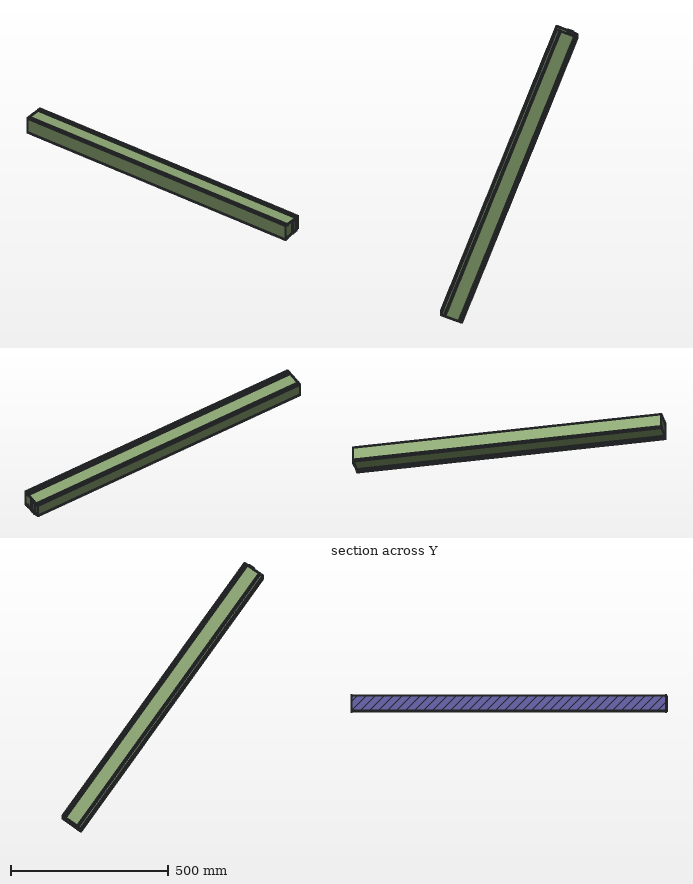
import cadquery as cq

total_length = 1003.0
depth = 71.0
front_height = 55.0
back_height = 45.0

front_lip = 10.0
back_lip = 9.5
slit_width = 1.0
slit_depth = 3.0
foot_width = 4.0
foot_thickness = 1.0

pad_thickness = 3.0
pad_width = 20.0
pad_height = 46.0
pad_center_y = 11.0

bar_length = total_length - pad_thickness
front_y = -depth / 2
back_y = depth / 2

front_slit_y = front_y + front_lip
back_slit_y = back_y - back_lip - slit_width


def half_height(y):
    """Height of the sloping top face above the XY plane at a given y."""
    back_share = (y - front_y) / depth
    return (front_height + (back_height - front_height) * back_share) / 2


def make_bar():
    outline = [
        (front_y, -front_height / 2),
        (back_y, -back_height / 2),
        (back_y, back_height / 2),
        (front_y, front_height / 2),
    ]
    return cq.Workplane("YZ").polyline(outline).close().extrude(bar_length)


def make_groove(slit_y):
    """Full-length cutter for one groove in the top face."""
    slit_end_y = slit_y + slit_width
    foot_end_y = slit_y + foot_width
    foot_top = half_height(slit_y + slit_width / 2) - slit_depth
    foot_bottom = foot_top - foot_thickness
    cutter_top = front_height / 2
    outline = [
        (slit_y, cutter_top),
        (slit_y, foot_bottom),
        (foot_end_y, foot_bottom),
        (foot_end_y, foot_top),
        (slit_end_y, foot_top),
        (slit_end_y, cutter_top),
    ]
    return cq.Workplane("YZ").polyline(outline).close().extrude(bar_length)


def make_pad():
    pad = cq.Workplane("XY").box(2 * pad_thickness, pad_width, pad_height)
    return pad.translate((bar_length, pad_center_y, 0))


result = make_bar()
for slit_y in (front_slit_y, back_slit_y):
    groove = make_groove(slit_y)
    result = result.cut(groove).cut(groove.mirror("XY"))
result = result.union(make_pad())